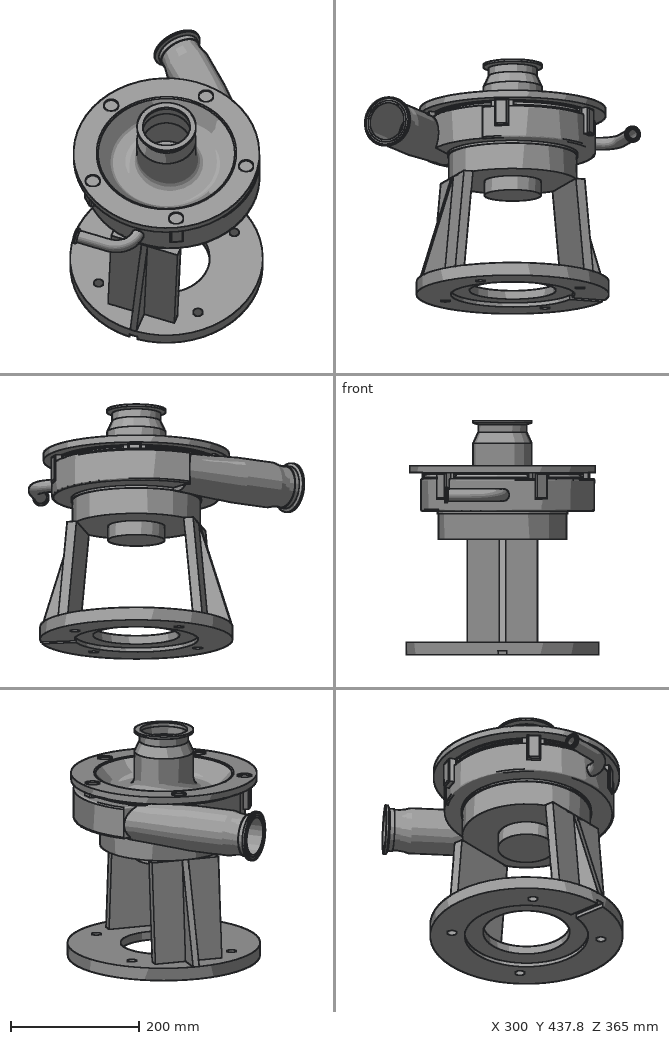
import cadquery as cq
import math

BASE_TOP = 20.0
HUB_BOTTOM = 157.5
PEDESTAL_BOTTOM = 180.0
COLLAR_BOTTOM = 220.0
CASING_BOTTOM = 224.0
CASING_TOP = 274.5
SPACER_LIP_TOP = 276.5
SPACER_GROOVE_TOP = 282.0
COVER_BOTTOM = 284.0
COVER_TOP = 295.0
INLET_TOP = 365.0
OUTLET_HEIGHT = 246.5

BASE_RADIUS = 150.0
BASE_BORE_RADIUS = 67.5
BASE_BOLT_CIRCLE_RADIUS = 116.5
BASE_BOLT_COUNT = 4
BASE_BOLT_FIRST_ANGLE = 45.0
BASE_BOLT_DIAMETER = 15.0
BASE_NOTCH_WIDTH = 13.0
BASE_RECESS_RADIUS = 96.3
BASE_RECESS_DEPTH = 6.5

LEG_WIDTH = 110.0
LEG_THICKNESS = 15.0
LEG_LEAN = 15.0
GUSSET_THICKNESS = 10.0

PEDESTAL_RADIUS = 99.8
COLLAR_RADIUS = 101.5
HUB_RADIUS = 44.0
CASING_RADIUS = 128.0
VOLUTE_START_RADIUS = 126.5
MOUTH_ANGLE = 45.0
CASING_EDGE = 2.5
VOLUTE_GROWTH = 9.0
SPACER_RADIUS = 124.5
SPACER_NECK_RADIUS = 119.0
CUTWATER_ANGLE = 139.0

COVER_RADIUS = 145.0
BOWL_RIM_RADIUS = 109.0
BOWL_RIM_CHAMFER = 2.5
BOWL_RIM_CHAMFER_DEPTH = 1.5
BOWL_BEND_OUTER_RADIUS = 88.0
BOWL_BEND_RISE = 5.0
BOWL_FLOOR_OUTER_RADIUS = 77.5
BOWL_FLOOR = 269.0
NECK_FILLET = 19.5

LUG_COUNT = 5
LUG_FIRST_ANGLE = 9.0
LUG_CIRCLE_RADIUS = 126.5
LUG_WIDTH = 21.0
LUG_INNER_RADIUS = 114.0
LUG_OUTER_RADIUS = 136.0
LUG_BOTTOM = 243.0
LUG_BOSS_WIDTH = 35.0
LUG_CHAMFER = 2.0
BOLT_RECESS_DIAMETER = 22.8
BOLT_RECESS_DEPTH = 2.5

FERRULE_RIM = 3.5
FERRULE_TAPER = 2.5

NECK_RADIUS = 46.0
NECK_CONE_BOTTOM = 329.5
NECK_CONE_TOP = 346.5
INLET_TUBE_RADIUS = 38.0
INLET_RIM_RADIUS = 46.0
INLET_BORE_RADIUS = 36.8
INLET_BORE_BOTTOM = 324.3
INLET_CHAMBER_RADIUS = 42.0

OUTLET_ANGLE = 135.0
OUTLET_OFFSET = 115.5
OUTLET_THROAT_RADIUS = 29.8
OUTLET_PIPE_RADIUS = 35.5
OUTLET_TUBE_RADIUS = 32.0
OUTLET_RIM_RADIUS = 38.5
OUTLET_BORE_RADIUS = 29.5
OUTLET_CONE_LENGTH = 106.8
OUTLET_LENGTH = 212.0
OUTLET_TUBE_LENGTH = 22.8
OUTLET_HUB_LENGTH = 13.5
OUTLET_HUB_RADIUS = 33.3
OUTLET_GASKET_RADIUS = 34.5
OUTLET_GASKET_GROOVE = 1.8
OUTLET_STEP_LENGTH = 31.5
OUTLET_TRANSITION_LENGTH = 40.0
OUTLET_STEP_RADIUS = 33.3

DRAIN_HEIGHT = (CASING_BOTTOM + CASING_TOP) / 2
DRAIN_AXIS_Y = -166.7
DRAIN_END_X = -89.5
DRAIN_BEND_START_X = -35.5
DRAIN_BEND_RADIUS = 36.5
DRAIN_RADIUS = 9.5
DRAIN_BORE_RADIUS = 7.5
DRAIN_RIM_RADIUS = 12.3
DRAIN_GASKET_RADIUS = 10.0
DRAIN_GASKET_GROOVE = 1.0
DRAIN_RIM = 3.0
DRAIN_RIM_TAPER = 2.5


def disc(radius, bottom, top):
    return cq.Workplane("XY").workplane(offset=bottom).circle(radius).extrude(top - bottom)


def revolve_about_z(points):
    return cq.Workplane("XZ").polyline(points).close().revolve(360, (0, 0), (0, 1))


def make_base():
    base = disc(BASE_RADIUS, 0, BASE_TOP).cut(disc(BASE_BORE_RADIUS, 0, BASE_TOP))
    base = (
        base.faces(">Z").workplane(origin=(0, 0, BASE_TOP))
        .polarArray(BASE_BOLT_CIRCLE_RADIUS, BASE_BOLT_FIRST_ANGLE, 360, BASE_BOLT_COUNT)
        .hole(BASE_BOLT_DIAMETER)
    )
    base = base.cut(disc(BASE_RECESS_RADIUS, 0, BASE_RECESS_DEPTH))
    notch = cq.Workplane("XY").box(
        BASE_NOTCH_WIDTH, BASE_RADIUS, BASE_RECESS_DEPTH, centered=(True, False, False)
    )
    return base.cut(notch.translate((0, -BASE_RADIUS, 0)))


def make_leg():
    top_outer = -PEDESTAL_RADIUS
    foot_outer = top_outer - LEG_LEAN
    plate_outline = [
        (top_outer, PEDESTAL_BOTTOM),
        (foot_outer, BASE_TOP),
        (foot_outer + LEG_THICKNESS, BASE_TOP),
        (top_outer + LEG_THICKNESS, PEDESTAL_BOTTOM),
    ]
    gusset_outline = [
        (top_outer, PEDESTAL_BOTTOM),
        (-BASE_RADIUS, BASE_TOP),
        (foot_outer, BASE_TOP),
    ]
    plate = cq.Workplane("YZ").polyline(plate_outline).close().extrude(LEG_WIDTH / 2, both=True)
    gusset = cq.Workplane("YZ").polyline(gusset_outline).close().extrude(GUSSET_THICKNESS / 2, both=True)
    return plate.union(gusset)


def polar_point(radius, angle):
    return (radius * math.cos(math.radians(angle)), radius * math.sin(math.radians(angle)))


def make_casing():
    narrow_angle = MOUTH_ANGLE + 180
    centre_x, centre_y = polar_point(VOLUTE_GROWTH, MOUTH_ANGLE)
    bulge_x, bulge_y = polar_point(CASING_RADIUS + VOLUTE_GROWTH, MOUTH_ANGLE - 90)
    casing = (
        cq.Workplane("XY").workplane(offset=CASING_BOTTOM)
        .moveTo(*polar_point(VOLUTE_START_RADIUS, CUTWATER_ANGLE))
        .threePointArc(
            polar_point((VOLUTE_START_RADIUS + CASING_RADIUS) / 2, (CUTWATER_ANGLE + narrow_angle) / 2),
            polar_point(CASING_RADIUS, narrow_angle),
        )
        .threePointArc(
            (centre_x + bulge_x, centre_y + bulge_y),
            polar_point(CASING_RADIUS + 2 * VOLUTE_GROWTH, MOUTH_ANGLE),
        )
        .close().extrude(CASING_TOP - CASING_BOTTOM)
        .faces("<Z or >Z").fillet(CASING_EDGE)
    )
    lip = (
        cq.Workplane("XZ").moveTo(0, CASING_BOTTOM).lineTo(CASING_RADIUS, CASING_BOTTOM)
        .lineTo(CASING_RADIUS, SPACER_LIP_TOP).lineTo(0, SPACER_LIP_TOP).close()
        .revolve(CUTWATER_ANGLE - MOUTH_ANGLE, (0, 0), (0, 1))
        .rotate((0, 0, 0), (0, 0, 1), MOUTH_ANGLE)
    )
    return casing.union(lip)


def make_cover():
    spacer = revolve_about_z([
        (0, CASING_TOP),
        (SPACER_RADIUS, CASING_TOP),
        (SPACER_RADIUS, SPACER_LIP_TOP),
        (SPACER_NECK_RADIUS, SPACER_GROOVE_TOP),
        (SPACER_RADIUS, SPACER_GROOVE_TOP),
        (SPACER_RADIUS, COVER_BOTTOM),
        (0, COVER_BOTTOM),
    ])
    return disc(COVER_RADIUS, COVER_BOTTOM, COVER_TOP).union(spacer)


def make_bowl_cut():
    arc_inset = NECK_FILLET * (1 - math.sqrt(0.5))
    fillet_end = (NECK_RADIUS, BOWL_FLOOR + NECK_FILLET)
    fillet_middle = (NECK_RADIUS + arc_inset, BOWL_FLOOR + arc_inset)
    fillet_start = (NECK_RADIUS + NECK_FILLET, BOWL_FLOOR)
    return (
        cq.Workplane("XZ")
        .moveTo(NECK_RADIUS, COVER_TOP)
        .lineTo(*fillet_end)
        .threePointArc(fillet_middle, fillet_start)
        .lineTo(BOWL_FLOOR_OUTER_RADIUS, BOWL_FLOOR)
        .tangentArcPoint((BOWL_BEND_OUTER_RADIUS, BOWL_FLOOR + BOWL_BEND_RISE), relative=False)
        .lineTo(BOWL_RIM_RADIUS - BOWL_RIM_CHAMFER, COVER_TOP - BOWL_RIM_CHAMFER_DEPTH)
        .lineTo(BOWL_RIM_RADIUS, COVER_TOP)
        .close().revolve(360, (0, 0), (0, 1))
    )


def make_lug(angle):
    lug = (
        cq.Workplane("XY").workplane(offset=LUG_BOTTOM)
        .center((LUG_INNER_RADIUS + LUG_OUTER_RADIUS) / 2, 0)
        .rect(LUG_OUTER_RADIUS - LUG_INNER_RADIUS, LUG_WIDTH)
        .extrude(COVER_BOTTOM - LUG_BOTTOM)
        .faces(">X").chamfer(LUG_CHAMFER)
    )
    boss = cq.Workplane("XY").box(
        SPACER_RADIUS - LUG_INNER_RADIUS, LUG_BOSS_WIDTH, COVER_BOTTOM - CASING_TOP,
        centered=(False, True, False),
    )
    lug = lug.union(boss.translate((LUG_INNER_RADIUS, 0, CASING_TOP)))
    return lug.rotate((0, 0, 0), (0, 0, 1), angle)


def make_bolt_recesses():
    return (
        cq.Workplane("XY").workplane(offset=COVER_TOP - BOLT_RECESS_DEPTH)
        .polarArray(LUG_CIRCLE_RADIUS, LUG_FIRST_ANGLE, 360, LUG_COUNT)
        .circle(BOLT_RECESS_DIAMETER / 2).extrude(BOLT_RECESS_DEPTH)
    )


def ferrule_outline(tube_radius, rim_radius, face, rim=FERRULE_RIM, taper=FERRULE_TAPER):
    """Radius and height points of a clamp ferrule, from its tube up to the axis of its end face."""
    return [
        (tube_radius, face - rim - taper),
        (rim_radius, face - rim),
        (rim_radius, face),
        (0, face),
    ]


def gasket_groove(radius, section_radius, face):
    return (
        cq.Workplane("XZ").center(radius, face).circle(section_radius)
        .revolve(360, (-radius, 0), (-radius, 1))
    )


def make_inlet():
    outline = [
        (0, BOWL_FLOOR),
        (NECK_RADIUS, BOWL_FLOOR),
        (NECK_RADIUS, NECK_CONE_BOTTOM),
        (INLET_TUBE_RADIUS, NECK_CONE_TOP),
    ]
    return revolve_about_z(outline + ferrule_outline(INLET_TUBE_RADIUS, INLET_RIM_RADIUS, INLET_TOP))


def make_inlet_bore():
    chamber = disc(INLET_CHAMBER_RADIUS, BOWL_FLOOR, INLET_BORE_BOTTOM)
    return chamber.union(disc(INLET_BORE_RADIUS, INLET_BORE_BOTTOM, INLET_TOP))


def place_outlet(shape):
    """Lay a shape built along Z onto the outlet axis."""
    turned = shape.rotate((0, 0, 0), (0, 1, 0), 90).translate((0, -OUTLET_OFFSET, OUTLET_HEIGHT))
    return turned.rotate((0, 0, 0), (0, 0, 1), OUTLET_ANGLE)


def make_outlet():
    outline = [
        (0, 0),
        (OUTLET_THROAT_RADIUS, 0),
        (OUTLET_PIPE_RADIUS, OUTLET_CONE_LENGTH),
        (OUTLET_PIPE_RADIUS, OUTLET_LENGTH - OUTLET_TRANSITION_LENGTH),
        (OUTLET_STEP_RADIUS, OUTLET_LENGTH - OUTLET_STEP_LENGTH),
        (OUTLET_TUBE_RADIUS, OUTLET_LENGTH - OUTLET_TUBE_LENGTH),
        (OUTLET_TUBE_RADIUS, OUTLET_LENGTH - OUTLET_HUB_LENGTH),
        (OUTLET_HUB_RADIUS, OUTLET_LENGTH - OUTLET_HUB_LENGTH),
    ]
    outline += ferrule_outline(OUTLET_HUB_RADIUS, OUTLET_RIM_RADIUS, OUTLET_LENGTH)
    groove = gasket_groove(OUTLET_GASKET_RADIUS, OUTLET_GASKET_GROOVE, OUTLET_LENGTH)
    return place_outlet(revolve_about_z(outline).cut(groove))


def make_outlet_bore():
    return place_outlet(disc(OUTLET_BORE_RADIUS, OUTLET_CONE_LENGTH, OUTLET_LENGTH))


def sweep_drain(radius):
    path = (
        cq.Workplane("XY").workplane(offset=DRAIN_HEIGHT)
        .moveTo(DRAIN_END_X, DRAIN_AXIS_Y)
        .lineTo(DRAIN_BEND_START_X, DRAIN_AXIS_Y)
        .tangentArcPoint((DRAIN_BEND_RADIUS, DRAIN_BEND_RADIUS))
    )
    end_plane = cq.Workplane("YZ", origin=(DRAIN_END_X, DRAIN_AXIS_Y, DRAIN_HEIGHT))
    return end_plane.circle(radius).sweep(path)


def make_drain():
    outline = [(0, -DRAIN_RIM - DRAIN_RIM_TAPER)]
    outline += ferrule_outline(DRAIN_RADIUS, DRAIN_RIM_RADIUS, 0, DRAIN_RIM, DRAIN_RIM_TAPER)
    rim = (
        revolve_about_z(outline)
        .cut(gasket_groove(DRAIN_GASKET_RADIUS, DRAIN_GASKET_GROOVE, 0))
        .rotate((0, 0, 0), (0, 1, 0), -90)
        .translate((DRAIN_END_X, DRAIN_AXIS_Y, DRAIN_HEIGHT))
    )
    return sweep_drain(DRAIN_RADIUS).union(rim)


leg = make_leg()
result = make_base().union(leg).union(leg.mirror("XZ"))
result = result.union(disc(PEDESTAL_RADIUS, PEDESTAL_BOTTOM, COLLAR_BOTTOM))
result = result.union(disc(HUB_RADIUS, HUB_BOTTOM, PEDESTAL_BOTTOM))
result = result.union(disc(COLLAR_RADIUS, COLLAR_BOTTOM, CASING_BOTTOM))
result = result.union(make_casing()).union(make_cover())
for index in range(LUG_COUNT):
    result = result.union(make_lug(LUG_FIRST_ANGLE + index * 360 / LUG_COUNT))
result = result.union(make_outlet()).union(make_drain())

result = result.cut(make_bowl_cut()).cut(make_bolt_recesses())
result = result.union(make_inlet()).cut(make_inlet_bore())
result = result.cut(make_outlet_bore()).cut(sweep_drain(DRAIN_BORE_RADIUS))